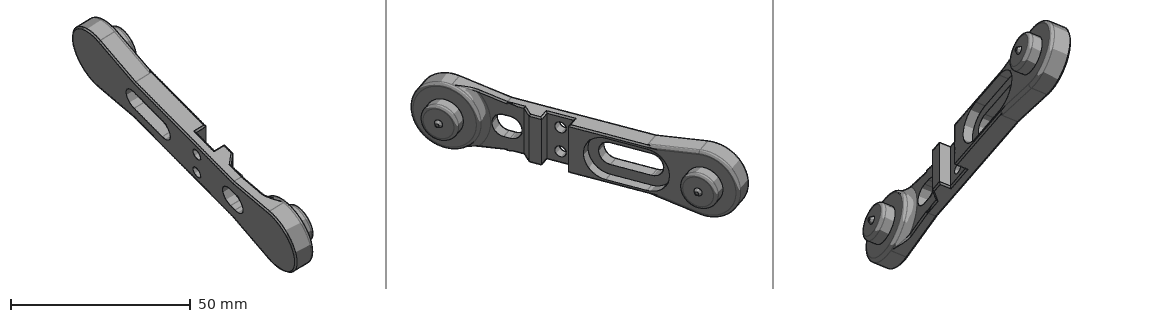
import cadquery as cq
import math

PIN_SPACING = 80.0
END_RADIUS = 10.75
NECK_HALF_LENGTH = 22.25
NECK_HALF_WIDTH = 8.0
THICKNESS = 6.5

FRONT_CHAMFER = 0.5
BACK_CHAMFER = 0.5
END_FILLET = 1.0

PIN_DIAMETER = 11.5
PIN_HEIGHT = 4.0
PIN_FILLET = 1.0
TIP_BASE_RADIUS = 1.25
TIP_TOP_RADIUS = 0.6
TIP_HEIGHT = 1.0

SCREW_X = 6.0
SCREW_SPACING = 8.0
SCREW_DIAMETER = 3.5
NOTCH_WIDTH = 8.2
NOTCH_FLOOR = 3.0

RECESS_START = 14.0
RECESS_FLOOR = 3.5
COVE_RADIUS = 2.0

COVE_STEPS = 8
SMALL = 0.01

SLOT_WIDTH = 7.25
LONG_SLOT_LENGTH = 20.0
LONG_SLOT_X = -16.0
SLOT_POCKET_MARGIN = 3.25
SHORT_SLOT_LENGTH = 9.25
SHORT_SLOT_X = 22.25

END_X = PIN_SPACING / 2
RECESS_DEPTH = THICKNESS - RECESS_FLOOR

corner_run = END_X - NECK_HALF_LENGTH
corner_distance = math.hypot(corner_run, NECK_HALF_WIDTH)
tangent_angle = math.atan2(NECK_HALF_WIDTH, corner_run) + math.acos(END_RADIUS / corner_distance)
TANGENT_X = END_X - END_RADIUS * math.cos(tangent_angle)
TANGENT_Z = END_RADIUS * math.sin(tangent_angle)


def plane_at(y):
    """XZ sketch plane at height y whose normal is +Y; local y is -Z."""
    return cq.Workplane(cq.Plane(origin=(0, y, 0), xDir=(1, 0, 0), normal=(0, 1, 0)))


def blank():
    """Full-thickness plate with the front edge chamfered and the left end rounded over."""
    tip_x = END_X + END_RADIUS
    plate = (
        plane_at(0)
        .moveTo(-TANGENT_X, TANGENT_Z)
        .lineTo(-NECK_HALF_LENGTH, NECK_HALF_WIDTH)
        .lineTo(NECK_HALF_LENGTH, NECK_HALF_WIDTH)
        .lineTo(TANGENT_X, TANGENT_Z)
        .threePointArc((tip_x, 0), (TANGENT_X, -TANGENT_Z))
        .lineTo(NECK_HALF_LENGTH, -NECK_HALF_WIDTH)
        .lineTo(-NECK_HALF_LENGTH, -NECK_HALF_WIDTH)
        .lineTo(-TANGENT_X, -TANGENT_Z)
        .threePointArc((-tip_x, 0), (-TANGENT_X, TANGENT_Z))
        .close()
        .extrude(THICKNESS)
    )
    plate = plate.faces("<Y").chamfer(FRONT_CHAMFER)
    left_end = cq.selectors.BoxSelector(
        (-tip_x, THICKNESS - SMALL, -tip_x), (-NECK_HALF_LENGTH, THICKNESS + SMALL, tip_x)
    )
    return plate.edges(left_end).fillet(END_FILLET)


def cut_back_profile(plate):
    """Cut the notch and the lowered right half, then chamfer the neck edges along that profile."""
    notch_depth = THICKNESS - NOTCH_FLOOR
    notch = cq.Workplane("XY").box(NOTCH_WIDTH, notch_depth, 4 * END_RADIUS)
    notch = notch.translate((SCREW_X, NOTCH_FLOOR + notch_depth / 2, 0))
    far_x = END_X + 2 * END_RADIUS
    recess = (
        cq.Workplane("XY")
        .moveTo(RECESS_START, THICKNESS)
        .lineTo(RECESS_START + RECESS_DEPTH, RECESS_FLOOR)
        .lineTo(far_x, RECESS_FLOOR)
        .lineTo(far_x, THICKNESS)
        .close()
        .extrude(2 * END_RADIUS, both=True)
    )
    plate = plate.cut(notch).cut(recess)
    for side in (1, -1):
        z = side * NECK_HALF_WIDTH
        edge_row = cq.selectors.BoxSelector(
            (-NECK_HALF_LENGTH + SMALL, NOTCH_FLOOR - SMALL, z - SMALL),
            (NECK_HALF_LENGTH - SMALL, THICKNESS + SMALL, z + SMALL),
        )
        plate = plate.edges(edge_row).chamfer(BACK_CHAMFER)
    return plate


def cove():
    """Concave ring that blends the lowered floor into the right pad, trimmed to the flanks."""
    wall_x = END_X - END_RADIUS
    bend = COVE_RADIUS * (1 - math.sqrt(0.5))
    ring = (
        cq.Workplane("XY")
        .moveTo(wall_x - COVE_RADIUS, RECESS_FLOOR)
        .threePointArc((wall_x - bend, RECESS_FLOOR + bend), (wall_x, RECESS_FLOOR + COVE_RADIUS))
        .lineTo(END_X, RECESS_FLOOR + COVE_RADIUS)
        .lineTo(END_X, RECESS_FLOOR)
        .close()
        .revolve(360, (END_X, 0), (END_X, 1))
    )
    flanks = (
        plane_at(RECESS_FLOOR)
        .moveTo(NECK_HALF_LENGTH, NECK_HALF_WIDTH)
        .lineTo(TANGENT_X, TANGENT_Z)
        .lineTo(TANGENT_X, -TANGENT_Z)
        .lineTo(NECK_HALF_LENGTH, -NECK_HALF_WIDTH)
        .close()
        .extrude(COVE_RADIUS)
    )
    return ring.intersect(flanks)


def back_height(run, depth):
    """Height of the floor and cove, at run from the tangent point and depth in from the flank."""
    inset = END_RADIUS + COVE_RADIUS - math.hypot(END_RADIUS - depth, run)
    if inset <= 0:
        return RECESS_FLOOR
    return RECESS_FLOOR + COVE_RADIUS - math.sqrt(COVE_RADIUS**2 - inset**2)


def flank_chamfer():
    """Cutter for the +Z right flank: a plain chamfer along the floor that fades out up the cove."""
    flank_length = math.hypot(TANGENT_X - NECK_HALF_LENGTH, TANGENT_Z - NECK_HALF_WIDTH)
    flank_slope = math.atan2(TANGENT_Z - NECK_HALF_WIDTH, TANGENT_X - NECK_HALF_LENGTH)
    miter = BACK_CHAMFER * math.tan(flank_slope / 2)
    fade_run = math.sqrt((END_RADIUS + COVE_RADIUS) ** 2 - (END_RADIUS - BACK_CHAMFER) ** 2)
    along = cq.Vector(math.cos(flank_slope), 0, math.sin(flank_slope))
    inward = cq.Vector(math.sin(flank_slope), 0, -math.cos(flank_slope))

    def section(run):
        remaining = min(run / fade_run, 1)
        size = BACK_CHAMFER * (1 - (1 - remaining**2) ** 2)
        foot = cq.Vector(TANGENT_X, 0, TANGENT_Z) - along * run
        low = foot + cq.Vector(0, back_height(run, 0) - size, 0)
        high = foot + cq.Vector(0, back_height(run, size), 0)
        return cq.Wire.makePolygon([low, high + inward * size, high - inward * size], close=True)

    straight = cq.Solid.makeLoft([section(flank_length + miter), section(fade_run)], True)
    fading = cq.Solid.makeLoft([section(fade_run * (1 - i / COVE_STEPS)) for i in range(COVE_STEPS)])
    return cq.Workplane(straight).union(cq.Workplane(fading))


def right_pad():
    """Round end plate that carries the right pin."""
    pad = plane_at(0).center(END_X, 0).circle(END_RADIUS).extrude(THICKNESS)
    return pad.faces(">Y").edges().fillet(END_FILLET).faces("<Y").edges().chamfer(FRONT_CHAMFER)


def pin(x):
    """Round pin with a small conical tip."""
    post = plane_at(THICKNESS - END_FILLET).center(x, 0).circle(PIN_DIAMETER / 2)
    post = post.extrude(PIN_HEIGHT + END_FILLET).faces(">Y").edges().fillet(PIN_FILLET)
    tip = cq.Solid.makeCone(
        TIP_BASE_RADIUS,
        TIP_TOP_RADIUS,
        TIP_HEIGHT,
        pnt=cq.Vector(x, THICKNESS + PIN_HEIGHT, 0),
        dir=cq.Vector(0, 1, 0),
    )
    return post.union(cq.Workplane(tip))


def slot_cutter(x, length, floor=0, margin=0):
    """Slot from height floor up through the back, enlarged all round by margin."""
    slot = plane_at(floor).center(x, 0).slot2D(length + 2 * margin, SLOT_WIDTH + 2 * margin)
    return slot.extrude(THICKNESS - floor)


def screw_hole_cutter():
    """Pair of through holes at the middle of the notch."""
    holes = plane_at(0).pushPoints([(SCREW_X, SCREW_SPACING / 2), (SCREW_X, -SCREW_SPACING / 2)])
    return holes.circle(SCREW_DIAMETER / 2).extrude(THICKNESS)


body = cut_back_profile(blank())
body = body.union(cove())
bevel = flank_chamfer()
body = body.cut(bevel).cut(bevel.mirror("XY"))
body = body.union(right_pad())
for pin_x in (-END_X, END_X):
    body = body.union(pin(pin_x))

body = body.cut(slot_cutter(LONG_SLOT_X, LONG_SLOT_LENGTH))
body = body.cut(slot_cutter(LONG_SLOT_X, LONG_SLOT_LENGTH, RECESS_FLOOR, SLOT_POCKET_MARGIN))
body = body.cut(slot_cutter(SHORT_SLOT_X, SHORT_SLOT_LENGTH))
result = body.cut(screw_hole_cutter())